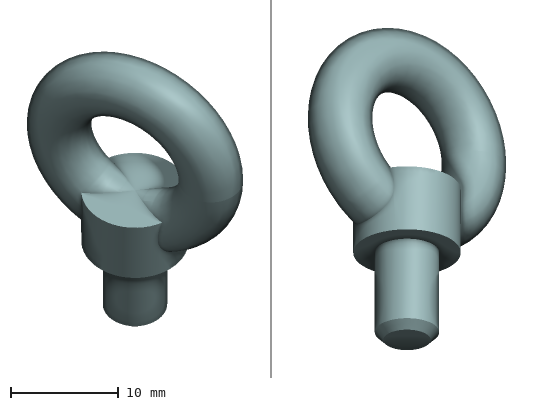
import cadquery as cq

ring_outer_diameter = 22.0
ring_inner_diameter = 10.0
ring_bar_diameter = (ring_outer_diameter - ring_inner_diameter) / 2
ring_mean_radius = (ring_outer_diameter + ring_inner_diameter) / 4

collar_diameter = 10.0
collar_height = 6.5

stud_diameter = 6.0
stud_length = 9.0
stud_chamfer = 0.8

ring_center_height = collar_height + ring_inner_diameter / 2


def make_ring():
    """Round bar swept in a full circle about the Y axis through the ring center."""
    bar_section = cq.Workplane("XY").center(ring_mean_radius, 0).circle(ring_bar_diameter / 2)
    axis_start = (-ring_mean_radius, 0)
    axis_end = (-ring_mean_radius, 1)
    ring = bar_section.revolve(360, axis_start, axis_end)
    return ring.translate((0, 0, ring_center_height))


def make_collar():
    """Plain cylinder carrying the ring."""
    return cq.Workplane("XY").circle(collar_diameter / 2).extrude(collar_height)


def make_stud():
    """Shank below the collar with a chamfered tip."""
    stud = cq.Workplane("XY").circle(stud_diameter / 2).extrude(-stud_length)
    return stud.faces("<Z").edges().chamfer(stud_chamfer)


result = make_collar().union(make_stud()).union(make_ring())